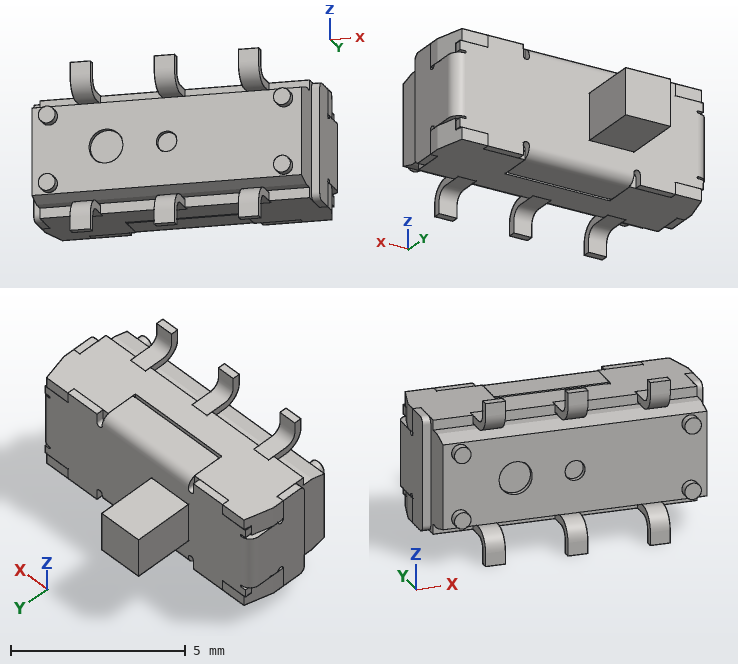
import cadquery as cq
import math


overall_length = 8.5
sheet = 0.25
SIDES = (-1, 1)

half_length = overall_length / 2
half_height = 1.75
back_y = 3.25
body_half_length = half_length - sheet
step_y = 0.85
foot_half_height = 1.445
foot_taper_y = 0.5
foot_face_half_height = 1.3
shoulder_y = 1.9
end_taper_y = 2.3
peg_diameter = 0.5
peg_height = sheet
peg_x = 3.49
peg_z = 1.0
recess_depth = 0.15
recesses = ((-1.8, 1.0), (0.0, 0.6))

bend_outer_radius = 0.35
bend_inner_radius = bend_outer_radius - sheet
plate_y = back_y - sheet
side_flap_half_width = 1.75
side_flap_tip_y = 2.0
side_flap_chamfer = 0.06
end_flap_half_width = 1.0
end_pad_y = 1.05
end_pad_radius = 0.2
relief_radius = 0.1
plate_half_length = 4.06
plate_half_height = 1.37
tab_end_x = 3.14
side_slit = 0.2
end_slit = 0.07

knob_size = 1.5
knob_tip_y = 5.25
knob_x = knob_size / 2 - side_flap_half_width

terminal_width = 0.6
terminal_pitch = 2.5
terminal_root_y = 1.05
terminal_reach = 2.5
terminal_inner_radius = 0.35
terminal_outer_radius = terminal_inner_radius + sheet


def box(x_range, y_range, z_range):
    """Box between two limits on each axis."""
    size = [high - low for low, high in (x_range, y_range, z_range)]
    return cq.Workplane("XY").box(*size, centered=False).translate((x_range[0], y_range[0], z_range[0]))


def cylinder_y(diameter, x, z, start_y, end_y):
    """Round bar along Y between two planes."""
    return cq.Workplane("XZ", origin=(x, start_y, z)).circle(diameter / 2).extrude(start_y - end_y)


def channel(half_x, half_z, tip_y, bend_axis, outer_radius):
    """U-shaped sheet: a web at the back and two legs toward -Y, bent about X or Z.

    An outer radius of zero leaves the outer corners square.
    """
    outer = box((-half_x, half_x), (tip_y, back_y), (-half_z, half_z))
    inner_x, inner_z = half_x, half_z
    if bend_axis == "X":
        inner_z -= sheet
    else:
        inner_x -= sheet
    inner = box((-inner_x, inner_x), (tip_y, plate_y), (-inner_z, inner_z))
    inner = inner.faces(">Y").edges(f"|{bend_axis}").fillet(bend_inner_radius)
    if outer_radius > 0:
        outer = outer.faces(">Y").edges(f"|{bend_axis}").fillet(outer_radius)
    return outer.cut(inner)


def side_flaps(tip_y, outer_radius):
    """Flaps folded over the +Z and -Z sides."""
    return channel(side_flap_half_width, half_height, tip_y, "X", outer_radius)


def end_flaps(outer_radius):
    """Flaps folded over the two ends, as far as the pads."""
    return channel(half_length, end_flap_half_width, shoulder_y, "Z", outer_radius)


def make_back_plate():
    """Flat plate with tabs, cleared where the flaps bend away from it."""
    y_range = (plate_y, back_y)
    plate = box((-plate_half_length, plate_half_length), y_range, (-plate_half_height, plate_half_height))
    plate = plate.union(box((-tab_end_x, tab_end_x), y_range, (-half_height, half_height)))

    side_bend_z = half_height - bend_outer_radius
    end_bend_x = half_length - bend_outer_radius
    side_gap_x = side_flap_half_width + side_slit
    end_gap_z = end_flap_half_width + end_slit
    for side in SIDES:
        side_gap_z = sorted((side * side_bend_z, side * half_height))
        plate = plate.cut(box((-side_gap_x, side_gap_x), y_range, side_gap_z))
        end_gap_x = sorted((side * end_bend_x, side * half_length))
        plate = plate.cut(box(end_gap_x, y_range, (-end_gap_z, end_gap_z)))

    slit_x = side_flap_half_width + side_slit / 2
    slit_z = end_flap_half_width + end_slit / 2
    for x_side in SIDES:
        for z_side in SIDES:
            plate = plate.cut(cylinder_y(side_slit, x_side * slit_x, z_side * side_bend_z, *y_range))
            plate = plate.cut(cylinder_y(end_slit, x_side * end_bend_x, z_side * slit_z, *y_range))
    return plate


def make_end_pad(side):
    """Full-height pad at the tip of an end flap, with its two front corners rounded."""
    x_range = sorted((side * body_half_length, side * half_length))
    pad = box(x_range, (end_pad_y, shoulder_y), (-half_height, half_height))
    return pad.faces("<Y").edges("|X").fillet(end_pad_radius)


def make_cover():
    flaps = side_flaps(side_flap_tip_y, bend_outer_radius)
    flaps = flaps.faces("<Y").edges("|Z").chamfer(side_flap_chamfer)
    cover = make_back_plate().union(flaps).union(end_flaps(bend_outer_radius))
    for side in SIDES:
        cover = cover.union(make_end_pad(side))

    relief_y = shoulder_y + relief_radius
    for z_side in SIDES:
        relief = cq.Workplane("YZ").center(relief_y, z_side * end_flap_half_width).circle(relief_radius)
        cover = cover.cut(relief.extrude(half_length, both=True))
    return cover


def make_knob():
    half = knob_size / 2
    return box((knob_x - half, knob_x + half), (plate_y, knob_tip_y), (-half, half))


def make_terminal(x, side):
    """Strip that leaves the housing along -Y and bends outward into a foot."""
    outer_z = half_height
    inner_z = half_height - sheet
    bend_z = outer_z + terminal_inner_radius
    foot_y = -sheet
    bend_y = foot_y + terminal_outer_radius
    outer_offset = terminal_outer_radius * math.sqrt(0.5)
    inner_offset = terminal_inner_radius * math.sqrt(0.5)
    outer_mid = (bend_y - outer_offset, bend_z - outer_offset)
    inner_mid = (bend_y - inner_offset, bend_z - inner_offset)
    strip = (
        cq.Workplane("YZ")
        .moveTo(terminal_root_y, inner_z)
        .lineTo(bend_y, inner_z)
        .threePointArc(outer_mid, (foot_y, bend_z))
        .lineTo(foot_y, terminal_reach)
        .lineTo(foot_y + sheet, terminal_reach)
        .lineTo(foot_y + sheet, bend_z)
        .threePointArc(inner_mid, (bend_y, outer_z))
        .lineTo(terminal_root_y, outer_z)
        .close()
        .extrude(terminal_width / 2, both=True)
    )
    if side < 0:
        strip = strip.mirror("XY")
    return strip.translate((x, 0, 0))


def make_housing_blank():
    """Intersection of the end profile (foot and step) with the long outline (shoulders and tapers)."""
    end_profile = [
        (0, foot_face_half_height),
        (foot_taper_y, foot_half_height),
        (step_y, foot_half_height),
        (step_y, half_height),
        (back_y, half_height),
    ]
    end_profile += [(y, -z) for y, z in reversed(end_profile)]
    long_outline = [
        (body_half_length, 0),
        (body_half_length, shoulder_y),
        (half_length, shoulder_y),
        (half_length, end_taper_y),
        (body_half_length, back_y),
    ]
    long_outline += [(-x, y) for x, y in reversed(long_outline)]
    along_x = cq.Workplane("YZ").polyline(end_profile).close().extrude(half_length, both=True)
    along_z = cq.Workplane("XY").polyline(long_outline).close().extrude(half_height, both=True)
    return along_x.intersect(along_z)


def make_housing(terminals):
    housing = make_housing_blank()

    seat_y = (plate_y, back_y)
    housing = housing.cut(box((-half_length, half_length), seat_y, (-plate_half_height, plate_half_height)))
    housing = housing.cut(box((-tab_end_x, tab_end_x), seat_y, (-half_height, half_height)))
    housing = housing.cut(side_flaps(shoulder_y, 0))
    housing = housing.cut(end_flaps(0))

    for terminal in terminals:
        housing = housing.cut(terminal)

    for x_side in SIDES:
        for z_side in SIDES:
            housing = housing.union(cylinder_y(peg_diameter, x_side * peg_x, z_side * peg_z, -peg_height, 0))
    for x, diameter in recesses:
        housing = housing.cut(cylinder_y(diameter, x, 0, 0, recess_depth))
    return housing


terminals = [
    make_terminal(position * terminal_pitch, side)
    for position in (-1, 0, 1)
    for side in SIDES
]
knob = make_knob()
cover = make_cover().cut(knob)
housing = make_housing(terminals)

bodies = [housing, cover, knob, *terminals]
result = cq.Compound.makeCompound([body.solids().val() for body in bodies])